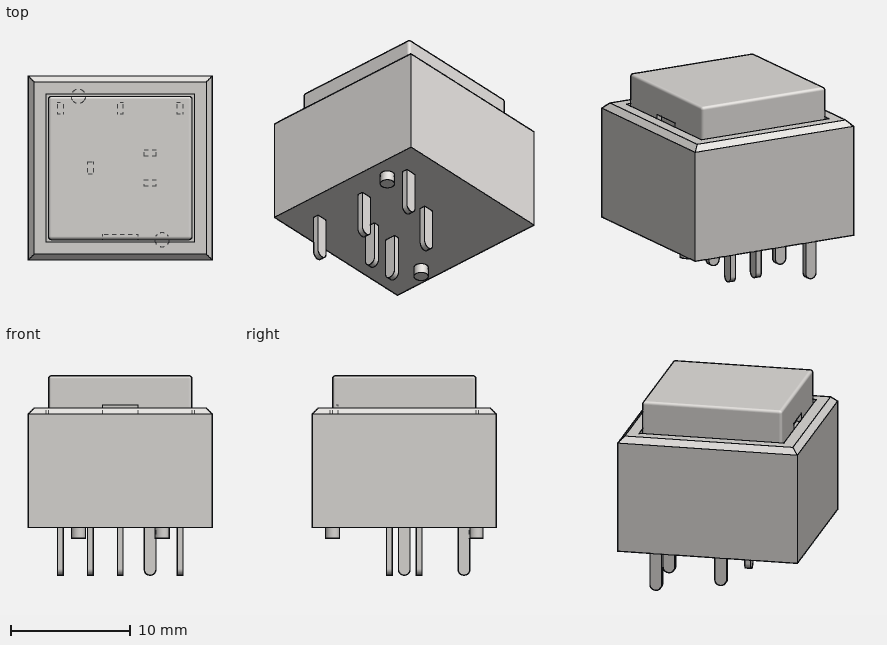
import cadquery as cq

HOUSING_SIDE = 15.4
HOUSING_HEIGHT = 10.0
HOUSING_CHAMFER = 0.5

CAP_SIDE = 12.0
CAP_TOP = 12.7
CAP_ROUNDING = 0.25
CAP_CLEARANCE = 0.2
WELL_SIDE = CAP_SIDE + 2 * CAP_CLEARANCE
WELL_DEPTH = 0.5
WELL_FLOOR = HOUSING_HEIGHT - WELL_DEPTH

NOTCH_WIDTH = 3.0
NOTCH_TOP = HOUSING_HEIGHT + 0.25
NOTCH_DEPTH = 0.45

PITCH = 5.0
TERMINAL_WIDTH = 1.0
TERMINAL_THICKNESS = 0.5
TERMINAL_LENGTH = 4.0
TERMINALS_ALONG_Y = [(-PITCH, PITCH), (0, PITCH), (PITCH, PITCH), (-PITCH / 2, 0)]
TERMINALS_ALONG_X = [(PITCH / 2, -PITCH / 4), (PITCH / 2, PITCH / 4)]

PEG_DIAMETER = 1.2
PEG_LENGTH = 0.9
PEG_X = 3.5
PEG_Y = 6.0
PEGS = [(PEG_X, -PEG_Y), (-PEG_X, PEG_Y)]


def make_housing():
    block = cq.Workplane("XY").rect(HOUSING_SIDE, HOUSING_SIDE).extrude(HOUSING_HEIGHT)
    block = block.faces(">Z").chamfer(HOUSING_CHAMFER)
    well = cq.Workplane("XY", origin=(0, 0, WELL_FLOOR)).rect(WELL_SIDE, WELL_SIDE).extrude(WELL_DEPTH)
    return block.cut(well)


def make_cap():
    cap = cq.Workplane("XY", origin=(0, 0, WELL_FLOOR)).rect(CAP_SIDE, CAP_SIDE)
    cap = cap.extrude(CAP_TOP - WELL_FLOOR)
    cap = cap.edges("|Z or >Z").fillet(CAP_ROUNDING)
    notch = cq.Workplane("XY", origin=(0, -CAP_SIDE / 2, WELL_FLOOR))
    notch = notch.rect(NOTCH_WIDTH, 2 * NOTCH_DEPTH).extrude(NOTCH_TOP - WELL_FLOOR)
    return cap.cut(notch)


def make_terminal():
    """One terminal hanging from Z = 0, its width along X and centred on the Z axis."""
    half_width = TERMINAL_WIDTH / 2
    tip_start = half_width - TERMINAL_LENGTH
    profile = (
        cq.Workplane("XZ")
        .moveTo(-half_width, 0)
        .lineTo(-half_width, tip_start)
        .threePointArc((0, -TERMINAL_LENGTH), (half_width, tip_start))
        .lineTo(half_width, 0)
        .close()
    )
    return profile.extrude(TERMINAL_THICKNESS / 2, both=True)


def make_peg():
    return cq.Workplane("XY").circle(PEG_DIAMETER / 2).extrude(-PEG_LENGTH)


result = make_housing().union(make_cap())

terminal_along_x = make_terminal()
terminal_along_y = terminal_along_x.rotate((0, 0, 0), (0, 0, 1), 90)
for x, y in TERMINALS_ALONG_X:
    result = result.union(terminal_along_x.translate((x, y, 0)))
for x, y in TERMINALS_ALONG_Y:
    result = result.union(terminal_along_y.translate((x, y, 0)))

peg = make_peg()
for x, y in PEGS:
    result = result.union(peg.translate((x, y, 0)))